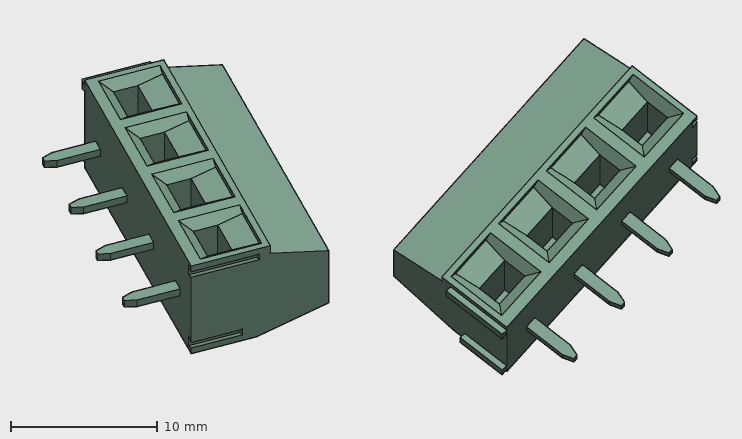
import cadquery as cq
import math


way_count = 4
pitch = 5.08
body_width = way_count * pitch
body_depth = 10.1
body_height = 8.1
half_width = body_width / 2
raised_depth = 5.8
step_height = 0.7
flat_base_depth = 4.78
slope_tangent = math.tan(math.radians(15))

opening_width = 4.2
opening_front = 0.84
opening_back = 5.34
funnel_depth = 0.62
funnel_back_wall = 0.4
wire_hole_width = 2.7
wire_hole_front = 1.65
wire_hole_back = 3.44
wire_hole_depth = 6.0

dovetail_projection = 0.5
dovetail_width = 0.9
dovetail_neck = 0.5
dovetail_edge_gap = 0.33
upper_dovetail_length = 5.0
lower_dovetail_length = 3.76

pin_length = 4.0
pin_width = 0.9
pin_thickness = 0.62
pin_center_z = 3.92
pin_tip_length = 0.82
pin_tip_width = 0.35
pin_embed = 0.5

way_centers = [(i + 0.5) * pitch - half_width for i in range(way_count)]


def make_body():
    """Side profile in YZ, extruded across the full width."""
    top_drop = step_height + (body_depth - raised_depth) * slope_tangent
    base_rise = (body_depth - flat_base_depth) * slope_tangent
    profile = [
        (0, 0),
        (flat_base_depth, 0),
        (body_depth, base_rise),
        (body_depth, body_height - top_drop),
        (raised_depth, body_height - step_height),
        (raised_depth, body_height),
        (0, body_height),
    ]
    return cq.Workplane("YZ", origin=(-half_width, 0, 0)).polyline(profile).close().extrude(body_width)


def make_dovetail(root_x, center_z, length):
    """Bar along Y that widens from its neck at root_x towards -X."""
    tip_x = root_x - dovetail_projection
    section = [
        (root_x, center_z - dovetail_neck / 2),
        (root_x, center_z + dovetail_neck / 2),
        (tip_x, center_z + dovetail_width / 2),
        (tip_x, center_z - dovetail_width / 2),
    ]
    return cq.Workplane("XZ").polyline(section).close().extrude(-length)


def make_dovetail_pair(root_x):
    """Upper and lower dovetail bars rooted at the same X."""
    edge_to_center = dovetail_edge_gap + dovetail_width / 2
    upper = make_dovetail(root_x, body_height - edge_to_center, upper_dovetail_length)
    lower = make_dovetail(root_x, edge_to_center, lower_dovetail_length)
    return upper.add(lower)


def make_opening(center_x):
    """Tapered funnel with a ramp at its back, leading into a rectangular wire hole."""
    funnel = (
        cq.Workplane("XY", origin=(center_x, 0, body_height))
        .center(0, (opening_front + opening_back) / 2)
        .rect(opening_width, opening_back - opening_front)
        .workplane(offset=-funnel_depth)
        .center(0, (wire_hole_front - opening_front) / 2)
        .rect(wire_hole_width, opening_back - wire_hole_front)
        .loft(ruled=True)
    )
    ramp_profile = [
        (wire_hole_back, body_height - funnel_depth),
        (opening_back, body_height - funnel_back_wall),
        (opening_back, body_height - funnel_depth),
    ]
    ramp = (
        cq.Workplane("YZ", origin=(center_x - opening_width / 2, 0, 0))
        .polyline(ramp_profile)
        .close()
        .extrude(opening_width)
    )
    hole_length = wire_hole_back - wire_hole_front
    wire_hole = (
        cq.Workplane("XY", origin=(center_x, 0, body_height - wire_hole_depth))
        .center(0, (wire_hole_front + wire_hole_back) / 2)
        .rect(wire_hole_width, hole_length)
        .extrude(wire_hole_depth - funnel_depth)
    )
    return funnel.cut(ramp).union(wire_hole)


def make_pin(center_x):
    """Flat pin along -Y with a tapered tip."""
    outline = [
        (-pin_width / 2, pin_embed),
        (-pin_width / 2, pin_tip_length - pin_length),
        (-pin_tip_width / 2, -pin_length),
        (pin_tip_width / 2, -pin_length),
        (pin_width / 2, pin_tip_length - pin_length),
        (pin_width / 2, pin_embed),
    ]
    base_z = pin_center_z - pin_thickness / 2
    return cq.Workplane("XY", origin=(center_x, 0, base_z)).polyline(outline).close().extrude(pin_thickness)


result = make_body()
for rib in make_dovetail_pair(-half_width).vals():
    result = result.union(cq.Workplane(rib))
for groove in make_dovetail_pair(half_width).vals():
    result = result.cut(cq.Workplane(groove))
for way_x in way_centers:
    result = result.cut(make_opening(way_x)).union(make_pin(way_x))